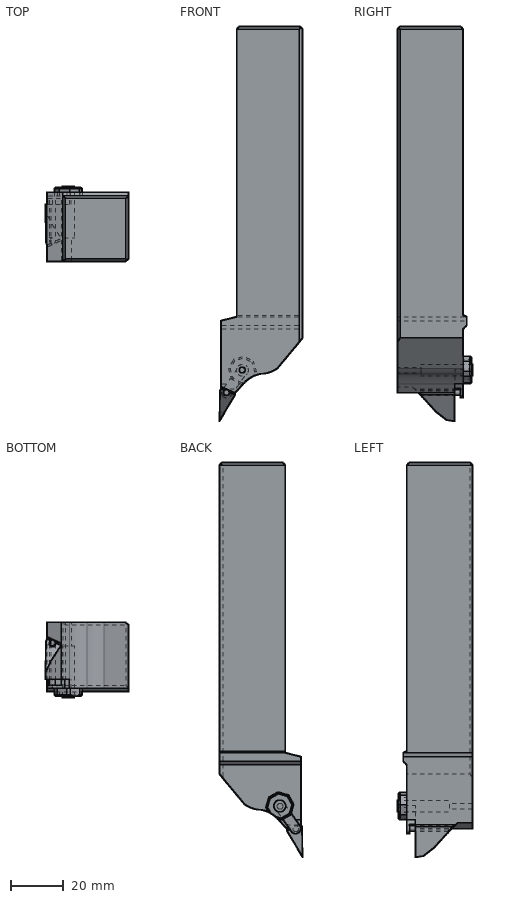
import cadquery as cq
import math


overall_height = 149.5
shank_size = 25.0
end_chamfer = 1.0
side_chamfer = 1.3
side_chamfer_depth = 1.0

head_left = -6.0
shoulder_inner_z = 39.6
shoulder_outer_z = 38.1
slope_start_z = 31.5
nose_right = (-0.6, 10.8)
nose_left_z = 13.2
hollow_start = (2.5, 14.2)
hollow_middle = (5.7, 16.7)
curve_join = (9.1, 18.0)
swell_middle = (12.5, 18.5)
swell_end = (15.5, 20.2)
ridge_height = 1.3
ridge_bottom_z = 36.3
ridge_top_z = 39.6
ridge_root_z = 40.2

tip_x = -6.6
insert_top_y = 21.7
seat_height = 0.7
blade_underside = [(18.7, 0.5), (14.6, 3.6), (8.4, 10.5), (5.2, 13.5)]
kink_x = -6.35
kink_z = 11.5
recess_z = 14.2

pin_x, pin_z = -3.9, 10.9
pin_radius = 1.12
pin_end_y = 9.3

clamp_x, clamp_z = 2.1, 19.5
clamp_top_y = 28.1
clamp_facets = 8
clamp_diameter = 10.6
clamp_turn = -6
clamp_chamfer = 0.6
arm_radius = 2.0
lip_thickness = 1.0
arm_foot_z = 12.4
screw_top_y = 28.5
screw_radius = 2.2
screw_end_y = 9.0
access_radius = 1.12


def xz_sketch(y):
    """Workplane with X to the right and Z up that extrudes towards +Y from the given Y."""
    return cq.Workplane(cq.Plane(origin=(0, y, 0), xDir=(1, 0, 0), normal=(0, -1, 0)))


def prism(sketch, length):
    return sketch.extrude(-length)


def rod(x, z, radius, y_start, y_end):
    """Cylinder along Y."""
    return prism(xz_sketch(y_start).center(x, z).circle(radius), y_end - y_start)


def slab_box(x_start, x_end, y_start, y_end, z_start, z_end):
    size = (x_end - x_start, y_end - y_start, z_end - z_start)
    return cq.Workplane("XY").box(*size, centered=False).translate((x_start, y_start, z_start))


def arm(y_start, y_end):
    """Round-ended bar that runs from the clamp screw to the insert pin."""
    dx, dz = pin_x - clamp_x, pin_z - clamp_z
    length = math.hypot(dx, dz)
    sketch = (
        xz_sketch(y_start)
        .center((clamp_x + pin_x) / 2, (clamp_z + pin_z) / 2)
        .slot2D(length + 2 * arm_radius, 2 * arm_radius, math.degrees(math.atan2(dz, dx)))
    )
    return prism(sketch, y_end - y_start)


def underside_limit():
    """Space above the sloping underside of the blade, across the whole width in X."""
    highest_z = blade_underside[-1][1]
    outline = [(insert_top_y, 0), *blade_underside, (insert_top_y, highest_z)]
    return cq.Workplane("YZ").polyline(outline).close().extrude(2 * shank_size, both=True)


def blade_band(outline):
    """Part of the blade with the given X-Z outline, cut to the sloping underside."""
    return prism(xz_sketch(0).polyline(outline).close(), insert_top_y).intersect(underside_limit())


def make_insert():
    outline = [
        (head_left, nose_left_z - seat_height),
        (kink_x, kink_z),
        (tip_x, 0),
        (nose_right[0], nose_right[1] - seat_height),
    ]
    return blade_band(outline).cut(rod(pin_x, pin_z, pin_radius, 0, insert_top_y))


def holder_profile(length):
    """Side outline of the holder, extruded from the -Y face."""
    return prism(
        xz_sketch(0)
        .moveTo(0, overall_height)
        .lineTo(0, shoulder_inner_z)
        .lineTo(head_left, shoulder_outer_z)
        .lineTo(head_left, nose_left_z)
        .lineTo(*nose_right)
        .lineTo(*hollow_start)
        .threePointArc(hollow_middle, curve_join)
        .threePointArc(swell_middle, swell_end)
        .lineTo(shank_size, slope_start_z)
        .lineTo(shank_size, overall_height)
        .close(),
        length,
    )


def make_holder():
    body = holder_profile(shank_size)
    body = body.faces(">Z").chamfer(end_chamfer)

    bevel = (
        cq.Workplane("XY")
        .polyline([(shank_size - side_chamfer, 0), (shank_size, 0), (shank_size, side_chamfer_depth)])
        .close()
        .extrude(overall_height)
    )
    body = body.cut(bevel)

    ridge = (
        cq.Workplane("YZ", origin=(head_left, 0, 0))
        .moveTo(shank_size, ridge_bottom_z - ridge_height)
        .lineTo(shank_size + ridge_height, ridge_bottom_z)
        .lineTo(shank_size + ridge_height, ridge_top_z)
        .lineTo(shank_size, ridge_root_z)
        .close()
        .extrude(shank_size - head_left)
    )
    above_shoulder = prism(
        xz_sketch(0).polyline(
            [
                (head_left, shoulder_outer_z),
                (0, shoulder_inner_z),
                (0, overall_height),
                (head_left, overall_height),
            ]
        ).close(),
        2 * shank_size,
    )
    body = body.union(ridge.cut(above_shoulder))

    seat = blade_band(
        [
            (head_left, nose_left_z),
            (head_left, nose_left_z - seat_height),
            (nose_right[0], nose_right[1] - seat_height),
            nose_right,
        ]
    )
    body = body.union(seat)

    body = body.cut(slab_box(head_left, shank_size, insert_top_y, shank_size, 0, recess_z))
    body = body.cut(arm(insert_top_y, shank_size))
    body = body.cut(rod(pin_x, pin_z, pin_radius, 0, insert_top_y))
    body = body.cut(rod(clamp_x, clamp_z, screw_radius, screw_end_y, shank_size))
    return body.cut(rod(clamp_x, clamp_z, access_radius, 0, screw_end_y))


def make_clamp():
    head = prism(
        xz_sketch(shank_size)
        .center(clamp_x, clamp_z)
        .transformed(rotate=(0, 0, clamp_turn))
        .polygon(clamp_facets, clamp_diameter),
        clamp_top_y - shank_size,
    )
    head = head.faces(">Y").chamfer(clamp_chamfer)
    head = head.intersect(holder_profile(clamp_top_y))
    lip_underside = shank_size - lip_thickness
    under_lip = slab_box(head_left, shank_size, insert_top_y, lip_underside, 0, arm_foot_z)
    body = head.union(arm(insert_top_y, shank_size).cut(under_lip))
    return body.cut(rod(clamp_x, clamp_z, screw_radius, insert_top_y, clamp_top_y))


holder = make_holder()
insert = make_insert()
clamp = make_clamp()
clamp_screw = rod(clamp_x, clamp_z, screw_radius, screw_end_y, screw_top_y)
insert_pin = rod(pin_x, pin_z, pin_radius, pin_end_y, shank_size - lip_thickness)

bodies = [holder, insert, clamp, clamp_screw, insert_pin]
result = cq.Compound.makeCompound([body.solids().val() for body in bodies])